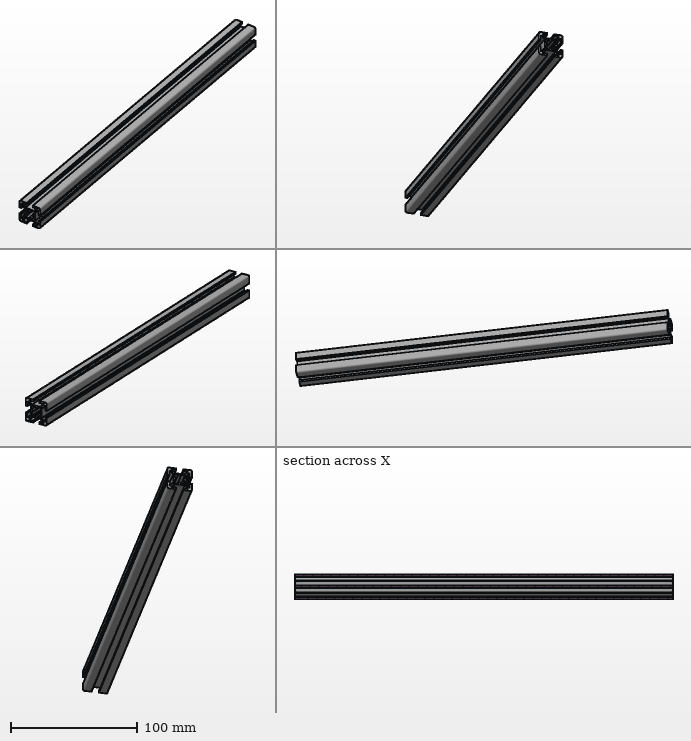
import cadquery as cq
import math

length = 300.0
width = 20.0
corner_radius = 1.6
slot_opening = 6.0
lip_thickness = 1.7
slot_inner_width = 13.4
slot_wall_height = 0.6
rib_thickness = 1.8
core_width = 10.6
bore_width = 8.4
ridge_width = 2.5
ridge_height = 1.1
side_count = 4

half_width = width / 2
half_core = core_width / 2
half_bore = bore_width / 2
half_opening = slot_opening / 2
half_inner = slot_inner_width / 2
half_ridge = ridge_width / 2
lip_level = half_width - lip_thickness
shoulder_level = lip_level - slot_wall_height
rib_offset = rib_thickness / math.sqrt(2)


def extrude_profile(outline):
    """Extrude a closed XZ outline over the whole bar, centred on Y = 0."""
    return outline.extrude(length / 2, both=True)


def on_each_side(shape):
    """The shape of the +Z side, turned about Y onto all four sides."""
    side_angle = 360 / side_count
    return [shape.rotate((0, 0, 0), (0, 1, 0), side_angle * side) for side in range(side_count)]


def bar_blank():
    """Solid square bar with rounded long edges."""
    return extrude_profile(cq.Workplane("XZ").rect(width, width)).edges("|Y").fillet(corner_radius)


def slot_cutter():
    """T-slot of the +Z side: narrow mouth, wide chamber, flanks following the ribs."""
    right_side = [
        (half_opening, half_width),
        (half_opening, lip_level),
        (half_inner, lip_level),
        (half_inner, shoulder_level),
        (shoulder_level - rib_offset, shoulder_level),
        (half_core - rib_offset, half_core),
    ]
    left_side = [(-x, z) for x, z in reversed(right_side)]
    return extrude_profile(cq.Workplane("XZ").polyline(right_side + left_side).close())


def bore_ridge():
    """Rounded ridge on the +Z wall of the bore, pointing at the bar axis."""
    crest = (0, half_bore - ridge_height)
    outline = cq.Workplane("XZ").moveTo(-half_ridge, half_bore)
    return extrude_profile(outline.threePointArc(crest, (half_ridge, half_bore)).close())


def bore_cutter():
    """Square central bore, less the ridge on each of its walls."""
    cutter = extrude_profile(cq.Workplane("XZ").rect(bore_width, bore_width))
    for ridge in on_each_side(bore_ridge()):
        cutter = cutter.cut(ridge)
    return cutter


result = bar_blank().cut(bore_cutter())
for slot in on_each_side(slot_cutter()):
    result = result.cut(slot)